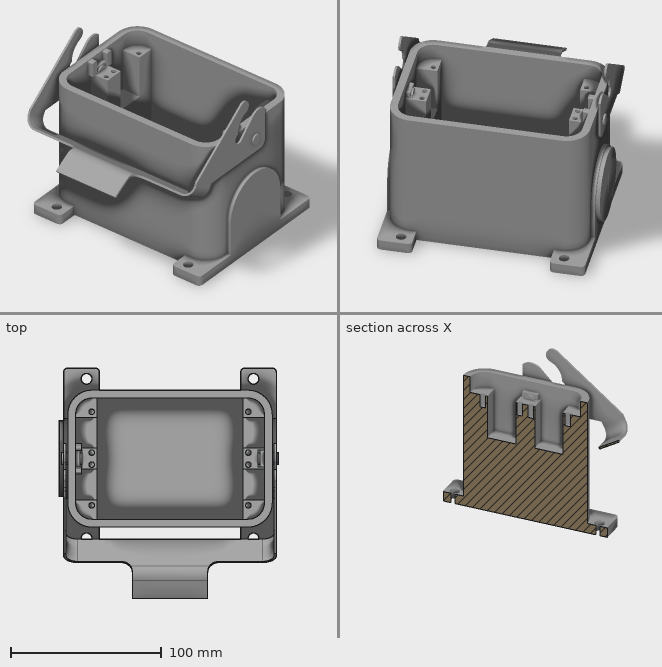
import cadquery as cq
import math

BODY_LENGTH = 135.5
BODY_WIDTH = 90.7
BODY_TOP = 98.6
BODY_BOTTOM = 0.6
WALL = 5.2
CORNER_RADIUS = 16.0
INNER_LENGTH = BODY_LENGTH - 2 * WALL
INNER_WIDTH = BODY_WIDTH - 2 * WALL

BAR_OUTER_X = 70.5
BAR_INNER_X = 46.7
BAR_LENGTH = 120.0
BAR_HEIGHT = 7.5
BAR_CORNER_RADIUS = 2.9
MOUNT_HOLE_X = 55.3
MOUNT_HOLE_Y = 52.8
MOUNT_HOLE_DIAMETER = 7.0

PLUG_Z = 32.8
PAD_RADIUS = 26.5
PLUG_RADIUS = 25.2
PLUG_HEIGHT = 2.9
PLUG_SLOT_WIDTH = 2.0
PLUG_SLOT_LENGTH = 14.2
PLUG_SLOT_DEPTH = 1.5

POST_INNER_X = 48.4
POST_TOP = 86.9
SHELF_TOP = 55.6
CORNER_POST_Y = 27.3
CENTRE_POST_WIDTH = 14.0
SCREW_HOLE_X = 51.9
CORNER_SCREW_Y = 31.0
CENTRE_SCREW_Y = 4.0
SCREW_HOLE_DIAMETER = 3.7
SCREW_HOLE_DEPTH = 9.2

PIN_Z = 86.3
PIN_RADIUS = 4.0
PIN_OUTER_X = 71.8
PIN_INNER_X = 58.3
CLIP_WIDTH = 11.3
CLIP_INNER_X = 59.5
CLIP_HEIGHT = 4.3
CLIP_LIP_HEIGHT = 0.5

RIB_INNER_X = 58.5
RIB_CENTRE_Y = 7.8
RIB_WIDTH = 4.6
RIB_TOP = 98.0
RIB_EDGE_RADIUS = 0.9

SHEET = 1.5
LATCH_OUTER_X = BAR_OUTER_X
STRAP_TILT = math.radians(31)
STRAP_WIDTH = 17.3
STRAP_BEND_RADIUS = 9.2
STRAP_LOWER_CORNER = (-54.0, 65.4)
ARM_REAR_Y = 10.0
ARM_BOTTOM_Z = 76.2
ARM_CORNER_RADIUS = 4.9
TAB_WIDTH = 50.0
TAB_FILLET = 7.6
TAB_ROOT_LENGTH = 3.7
TAB_BEND_RADIUS = 9.2
TAB_END_LENGTH = 14.0


def block(x_range, y_range, z_range):
    """Axis-aligned box between the given limits."""
    size = [abs(high - low) for low, high in (x_range, y_range, z_range)]
    corner = [min(limits) for limits in (x_range, y_range, z_range)]
    return cq.Workplane("XY").box(*size, centered=False).translate(tuple(corner))


def rounded_prism(length, width, radius, bottom, top):
    prism = cq.Workplane("XY").workplane(offset=bottom).rect(length, width).extrude(top - bottom)
    return prism.edges("|Z").fillet(radius)


def x_cylinder(radius, z, x_start, x_end):
    """Cylinder along X, centred on Y = 0."""
    return cq.Workplane("YZ", origin=(x_start, 0, 0)).center(0, z).circle(radius).extrude(x_end - x_start)


def strap_point(along, inward):
    """(Y, Z) of a point measured up the strap and inward from its outer face."""
    y = STRAP_LOWER_CORNER[0] - along * math.cos(STRAP_TILT) + inward * math.sin(STRAP_TILT)
    z = STRAP_LOWER_CORNER[1] + along * math.sin(STRAP_TILT) + inward * math.cos(STRAP_TILT)
    return (y, z)


def make_bars():
    bars = cq.Workplane("XY")
    for side in (-1, 1):
        bar = (
            cq.Workplane("XY")
            .center(side * (BAR_OUTER_X + BAR_INNER_X) / 2, 0)
            .rect(BAR_OUTER_X - BAR_INNER_X, BAR_LENGTH)
            .extrude(BAR_HEIGHT)
            .edges("|Z")
            .fillet(BAR_CORNER_RADIUS)
        )
        bars = bars.add(bar)
    holes = (
        cq.Workplane("XY")
        .rect(2 * MOUNT_HOLE_X, 2 * MOUNT_HOLE_Y, forConstruction=True)
        .vertices()
        .circle(MOUNT_HOLE_DIAMETER / 2)
        .extrude(BAR_HEIGHT)
    )
    return bars.combine().cut(holes)


def make_pads():
    """Arched pads of both ends as one bar; the cavity cut later leaves only the ends."""
    pads = x_cylinder(PAD_RADIUS, PLUG_Z, -BAR_OUTER_X, BAR_OUTER_X)
    return pads.union(block((-BAR_OUTER_X, BAR_OUTER_X), (-PAD_RADIUS, PAD_RADIUS), (BODY_BOTTOM, PLUG_Z)))


def make_plug():
    face_x = -BAR_OUTER_X - PLUG_HEIGHT
    slot = cq.Workplane("XY").box(2 * PLUG_SLOT_DEPTH, PLUG_SLOT_WIDTH, PLUG_SLOT_LENGTH)
    return x_cylinder(PLUG_RADIUS, PLUG_Z, face_x, -BAR_OUTER_X).cut(slot.translate((face_x, 0, PLUG_Z)))


def make_posts():
    """Shelf, centre post and two corner posts at the +X end."""
    x_range = (POST_INNER_X, INNER_LENGTH / 2)
    half_width = INNER_WIDTH / 2
    half_post = CENTRE_POST_WIDTH / 2
    posts = block(x_range, (-half_width, half_width), (BODY_BOTTOM, SHELF_TOP))
    for y_range in ((-half_width, -CORNER_POST_Y), (-half_post, half_post), (CORNER_POST_Y, half_width)):
        posts = posts.union(block(x_range, y_range, (BODY_BOTTOM, POST_TOP)))
    screw_places = [
        (SCREW_HOLE_X, side * y)
        for side in (-1, 1)
        for y in (CORNER_SCREW_Y, CENTRE_SCREW_Y)
    ]
    holes = (
        cq.Workplane("XY")
        .workplane(offset=POST_TOP)
        .pushPoints(screw_places)
        .circle(SCREW_HOLE_DIAMETER / 2)
        .extrude(-SCREW_HOLE_DEPTH)
    )
    return posts.cut(holes)


def make_clip():
    """Clip plate and its lip on the +X centre post, with the pivot pin through it."""
    y_range = (-CLIP_WIDTH / 2, CLIP_WIDTH / 2)
    plate = block((CLIP_INNER_X, INNER_LENGTH / 2), y_range, (POST_TOP, POST_TOP + CLIP_HEIGHT))
    lip = block((PIN_INNER_X, CLIP_INNER_X), y_range, (POST_TOP, POST_TOP + CLIP_LIP_HEIGHT))
    return plate.union(lip).union(x_cylinder(PIN_RADIUS, PIN_Z, PIN_INNER_X, PIN_OUTER_X))


def make_rib(centre_y):
    """Rib on the inside of the -X wall, with rounded upper edges."""
    y_range = (centre_y - RIB_WIDTH / 2, centre_y + RIB_WIDTH / 2)
    rib = block((-INNER_LENGTH / 2, -RIB_INNER_X), y_range, (POST_TOP, RIB_TOP))
    return rib.edges("|X and >Z").fillet(RIB_EDGE_RADIUS)


def make_housing():
    shell = rounded_prism(BODY_LENGTH, BODY_WIDTH, CORNER_RADIUS, BODY_BOTTOM, BODY_TOP)
    shell = shell.union(make_bars()).union(make_pads()).union(make_plug())
    inner_radius = CORNER_RADIUS - WALL
    floor_top = BODY_BOTTOM + WALL
    cavity = rounded_prism(INNER_LENGTH, INNER_WIDTH, inner_radius, floor_top, BODY_TOP)
    shell = shell.cut(cavity)
    posts = make_posts().intersect(
        rounded_prism(INNER_LENGTH, INNER_WIDTH, inner_radius, BODY_BOTTOM, BODY_TOP)
    )
    for feature in (posts, make_clip()):
        shell = shell.union(feature).union(feature.mirror("YZ"))
    for side in (-1, 1):
        shell = shell.union(make_rib(side * RIB_CENTRE_Y))
    return shell


def make_arm():
    """Flat arm at the +X end, with the open hook that catches the mating hood."""
    corner_inset = ARM_CORNER_RADIUS * (1 - math.sqrt(0.5))
    outline = (
        cq.Workplane("YZ", origin=(LATCH_OUTER_X - SHEET, 0, 0))
        .moveTo(ARM_REAR_Y, ARM_BOTTOM_Z + ARM_CORNER_RADIUS)
        .lineTo(ARM_REAR_Y, 106.1)
        .threePointArc((4.6, 108.3), (-2.5, 106.0))
        .lineTo(-14.8, 93.5)
        .threePointArc((-20.8, 93.8), (-19.1, 99.9))
        .threePointArc((-16.8, 107.8), (-11.1, 112.7))
        .threePointArc((-7.3, 118.6), (-14.7, 121.7))
        .lineTo(-62.9, 84.9)
        .lineTo(*strap_point(STRAP_WIDTH, STRAP_BEND_RADIUS))
        .lineTo(*strap_point(0, STRAP_BEND_RADIUS))
        .lineTo(-47.6, ARM_BOTTOM_Z)
        .lineTo(ARM_REAR_Y - ARM_CORNER_RADIUS, ARM_BOTTOM_Z)
        .threePointArc(
            (ARM_REAR_Y - corner_inset, ARM_BOTTOM_Z + corner_inset),
            (ARM_REAR_Y, ARM_BOTTOM_Z + ARM_CORNER_RADIUS),
        )
        .close()
    )
    return outline.extrude(SHEET)


def make_strap():
    """Cross strap with a rounded bend into each arm."""
    up_strap = (0, -math.cos(STRAP_TILT), math.sin(STRAP_TILT))
    plane = cq.Plane(origin=(0, *STRAP_LOWER_CORNER), xDir=(1, 0, 0), normal=up_strap)

    def bent_band(inset):
        half = LATCH_OUTER_X - inset
        height = 2 * STRAP_BEND_RADIUS
        band = (
            cq.Workplane(plane)
            .moveTo(-half, inset)
            .lineTo(half, inset)
            .lineTo(half, height)
            .lineTo(-half, height)
            .close()
            .extrude(STRAP_WIDTH)
        )
        for side in (-1, 1):
            corner = plane.toWorldCoords((side * half, inset, STRAP_WIDTH / 2))
            bend_edge = cq.selectors.NearestToPointSelector(corner.toTuple())
            band = band.edges(bend_edge).fillet(STRAP_BEND_RADIUS - inset)
        return band

    trim = (
        cq.Workplane(plane)
        .center(0, STRAP_BEND_RADIUS / 2)
        .rect(2 * LATCH_OUTER_X, STRAP_BEND_RADIUS)
        .extrude(STRAP_WIDTH)
    )
    return bent_band(0).cut(bent_band(SHEET)).intersect(trim)


def make_tab():
    """Finger tab: leaves the strap in its plane, then bends down to the mirrored slope."""
    root_end = STRAP_WIDTH + TAB_ROOT_LENGTH
    centre_y, centre_z = strap_point(root_end, SHEET - TAB_BEND_RADIUS)

    def bend_point(radius, angle):
        return (centre_y + radius * math.sin(angle), centre_z + radius * math.cos(angle))

    def end_point(radius):
        y, z = bend_point(radius, -STRAP_TILT)
        return (y - TAB_END_LENGTH * math.cos(STRAP_TILT), z - TAB_END_LENGTH * math.sin(STRAP_TILT))

    inner_radius = TAB_BEND_RADIUS - SHEET
    full_width = TAB_WIDTH + 2 * TAB_FILLET
    strip = (
        cq.Workplane("YZ")
        .moveTo(*strap_point(STRAP_WIDTH - SHEET, SHEET))
        .lineTo(*bend_point(TAB_BEND_RADIUS, STRAP_TILT))
        .threePointArc(bend_point(TAB_BEND_RADIUS, 0), bend_point(TAB_BEND_RADIUS, -STRAP_TILT))
        .lineTo(*end_point(TAB_BEND_RADIUS))
        .lineTo(*end_point(inner_radius))
        .lineTo(*bend_point(inner_radius, -STRAP_TILT))
        .threePointArc(bend_point(inner_radius, 0), bend_point(inner_radius, STRAP_TILT))
        .lineTo(*strap_point(STRAP_WIDTH - SHEET, 0))
        .close()
        .extrude(full_width / 2, both=True)
    )
    outward = (0, -math.sin(STRAP_TILT), -math.cos(STRAP_TILT))
    plane = cq.Plane(origin=(0, *strap_point(STRAP_WIDTH, 0)), xDir=(1, 0, 0), normal=outward)
    reach = TAB_ROOT_LENGTH + 2 * TAB_BEND_RADIUS + TAB_END_LENGTH
    half_tab = TAB_WIDTH / 2
    arc_inset = TAB_FILLET * (1 - math.sqrt(0.5))
    side_cut = (
        cq.Workplane(plane)
        .moveTo(half_tab, reach)
        .lineTo(half_tab, TAB_FILLET)
        .threePointArc((half_tab + arc_inset, arc_inset), (half_tab + TAB_FILLET, 0))
        .lineTo(half_tab + TAB_FILLET, reach)
        .close()
        .extrude(reach, both=True)
    )
    return strip.cut(side_cut).cut(side_cut.mirror("YZ"))


def make_latch():
    arm = make_arm()
    return make_strap().union(arm).union(arm.mirror("YZ")).union(make_tab())


result = make_housing().union(make_latch())